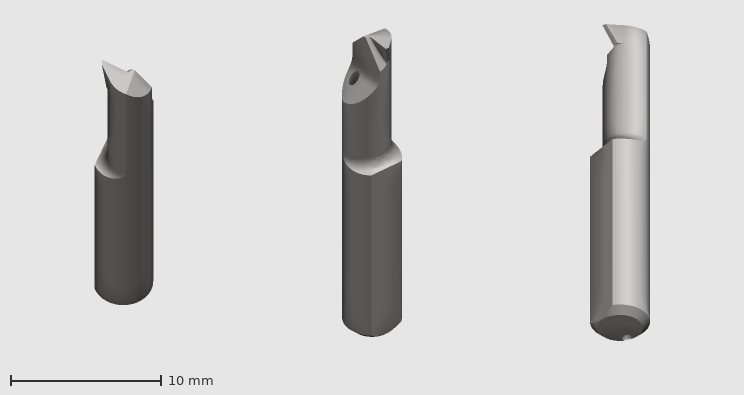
import cadquery as cq
import math

shank_radius = 2.0
flat_distance = 1.55
total_height = 24.0
end_chamfer = 0.5

neck_radius = 1.8
neck_axis_x = 0.8
shoulder_z = 14.0
shoulder_fillet = 0.8

rake_flat_y = 0.1
runout_angle = 47.0
runout_radius = 1.36
runout_end_z = 19.05

tip = (-1.47, -0.03, total_height)
tooth_bottom_z = 22.3
land_top_y = -0.33
land_bottom_y = -0.90

top_slope_x = 6.5
top_slope_y = 8.5
back_start_x = 0.79
back_slope_x = 47.0
back_slope_y = 5.5

groove_root_low = (-0.88, -0.55, 22.2)
groove_root_high = (0.50, -0.20, 23.8)
groove_wall_low = (-0.93, rake_flat_y, 21.93)
groove_root_radius = 0.1

hole_diameter = 0.7
hole_x = 1.1
hole_y = 0.65

margin = 1.0
stock_height = total_height + margin
cut_half_width = 2 * shank_radius


def tangent(degrees):
    return math.tan(math.radians(degrees))


def half_space(point, normal):
    """Block on the side of a plane that the normal points to."""
    plane = cq.Plane(origin=point, normal=normal)
    return cq.Workplane(plane).rect(2 * total_height, 2 * total_height).extrude(total_height)


def relief_plane(point, slope_x, slope_y):
    """Everything above a face that falls toward +X and -Y from a point."""
    return half_space(point, (tangent(slope_x), -tangent(slope_y), 1))


def make_shank():
    bar = cq.Workplane("XY").circle(shank_radius).extrude(shoulder_z)
    bar = bar.faces("<Z").chamfer(end_chamfer)
    return bar.cut(half_space((-flat_distance, 0, 0), (-1, 0, 0)))


def make_neck():
    """Offset cylinder above the shoulder, trimmed by the shank cylinder."""
    base = cq.Workplane("XY", origin=(0, 0, shoulder_z))
    cylinder = base.center(neck_axis_x, 0).circle(neck_radius).extrude(stock_height - shoulder_z)
    return cylinder.intersect(base.circle(shank_radius).extrude(stock_height - shoulder_z))


def fillet_shoulder(body):
    """Rounds the inner corner where the -X side of the neck meets the shoulder."""
    neck_edge = body.edges(cq.selectors.NearestToPointSelector((0, 0, shoulder_z)))
    return neck_edge.fillet(shoulder_fillet)


def make_tooth():
    """Corner block whose vertical side is tangent to the neck at 45 degrees."""
    touch_offset = neck_radius * math.sqrt(0.5)
    touch_x = neck_axis_x - touch_offset
    touch_y = -touch_offset
    side_sum = touch_x + touch_y
    block = (
        cq.Workplane("XY", origin=(0, 0, tooth_bottom_z))
        .moveTo(touch_x, touch_y)
        .lineTo(side_sum - rake_flat_y, rake_flat_y)
        .lineTo(touch_x, rake_flat_y)
        .close()
        .extrude(stock_height - tooth_bottom_z)
    )
    tip_point = cq.Vector(*tip)
    land_top = cq.Vector(side_sum - land_top_y, land_top_y, tip_point.z)
    land_bottom = cq.Vector(side_sum - land_bottom_y, land_bottom_y, tooth_bottom_z)
    outward = (land_bottom - tip_point).cross(land_top - tip_point)
    return block.cut(half_space(tip, outward.toTuple()))


def make_rake_cut():
    """Removes the +Y half of the head, with a rounded, sloping run-out below."""
    angle = math.radians(runout_angle)
    slope_top_y = rake_flat_y + runout_radius * (1 - math.sin(angle))
    slope_top_z = runout_end_z + (neck_radius - slope_top_y) * math.tan(angle)
    flat_bottom_z = slope_top_z + runout_radius * math.cos(angle)
    half_turn = math.radians(90 - runout_angle) / 2
    arc_y = rake_flat_y + runout_radius * (1 - math.cos(half_turn))
    arc_z = flat_bottom_z - runout_radius * math.sin(half_turn)
    outer_y = neck_radius + margin
    return (
        cq.Workplane("YZ")
        .moveTo(rake_flat_y, stock_height)
        .lineTo(rake_flat_y, flat_bottom_z)
        .threePointArc((arc_y, arc_z), (slope_top_y, slope_top_z))
        .lineTo(outer_y, runout_end_z - margin * math.tan(angle))
        .lineTo(outer_y, stock_height)
        .close()
        .extrude(cut_half_width, both=True)
    )


def make_chip_groove():
    """V notch along the root line, between the rake face and the groove wall."""
    root = cq.Vector(*groove_root_low)
    root_line = cq.Vector(*groove_root_high) - root
    rake_normal = (cq.Vector(*tip) - root).cross(root_line)
    wall_normal = root_line.cross(cq.Vector(*groove_wall_low) - root)
    above_rake = half_space(groove_root_low, rake_normal.toTuple())
    above_wall = half_space(groove_root_low, wall_normal.toTuple())
    notch = above_rake.intersect(above_wall)
    root_edge = notch.edges(cq.selectors.ParallelDirSelector(root_line))
    return root_edge.fillet(groove_root_radius)


def make_hole():
    return cq.Workplane("XY").center(hole_x, hole_y).circle(hole_diameter / 2).extrude(stock_height)


back_start_z = total_height - (back_start_x - tip[0]) * tangent(top_slope_x)

result = fillet_shoulder(make_shank().union(make_neck()))
result = result.union(make_tooth())
result = result.cut(make_rake_cut())
result = result.cut(make_chip_groove())
result = result.cut(relief_plane(tip, top_slope_x, top_slope_y))
result = result.cut(relief_plane((back_start_x, 0, back_start_z), back_slope_x, back_slope_y))
result = result.cut(make_hole())